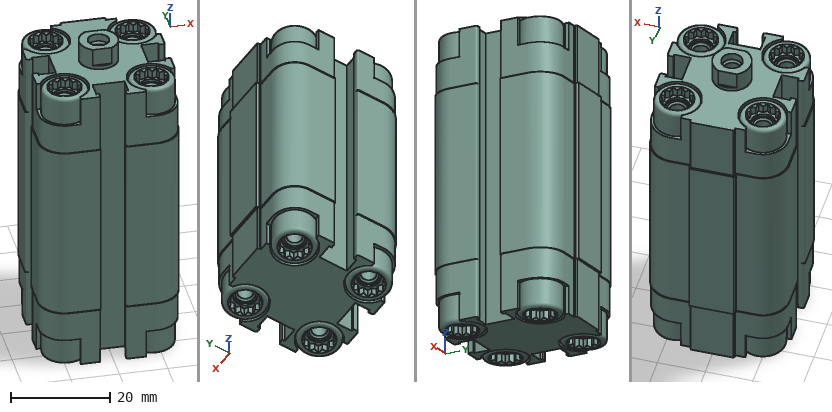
import cadquery as cq
import math

total_height = 67.5
rod_projection = 4.5
housing_height = total_height - rod_projection
cap_height = 12.5
barrel_height = housing_height - 2 * cap_height

barrel_half_width = 14.5
cap_inset = 0.2
cap_half_width = barrel_half_width - cap_inset
corner_center = 9.0

barrel_rib_top = 15.45
cap_rib_top = 15.05
barrel_rib_half_width = 4.65
cap_rib_half_width = barrel_rib_half_width - cap_inset
rib_side_lean = 0.2
rib_foot_height = 0.35

slot_mouth_half_width = 2.7
slot_half_width = 3.3
slot_lip_bottom = 13.0
slot_floor = 9.5
barrel_lip_round = 0.2
cap_lip_round = 0.4
slot_turns = (90, 180, 270)

notch_start = 6.75
notch_height = 6.0
boss_diameter = 9.5
boss_round = 0.75
boss_clearance_diameter = 10.0

socket_point_count = 12
socket_tip_radius = 3.5
socket_ridge_radius = 3.0
socket_depth = 2.15
socket_mouth_diameter = 7.0
socket_mouth_slope = 1
seat_diameter = 5.0
seat_depth = 2.7
countersink_diameter = 4.1
screw_hole_diameter = 3.25

rod_diameter = 8.0
rod_flat_half_width = 3.5
rod_flat_length = 3.7
rod_seat_depth = cap_height
rod_bore_diameter = 4.3
rod_bore_depth = 1.6
rod_pilot_diameter = 3.4
rod_pilot_depth = 6.1
drill_point_angle = 118

corner_places = [
    (x_side * corner_center, y_side * corner_center)
    for x_side in (-1, 1)
    for y_side in (-1, 1)
]


def cylinder(diameter, height, center=(0, 0), bottom=0):
    """Upright cylinder standing on the height 'bottom'."""
    return cq.Workplane("XY", origin=(*center, bottom)).circle(diameter / 2).extrude(height)


def outline_block(half_width, height, rib_top, rib_half_width):
    """Rounded square prism with the tapered rib on +Y, standing on Z = 0."""
    block = (
        cq.Workplane("XY")
        .rect(2 * half_width, 2 * half_width)
        .extrude(height)
        .edges("|Z")
        .fillet(half_width - corner_center)
    )
    rib_foot = rib_half_width + rib_side_lean
    rib = (
        cq.Workplane("XY")
        .polyline([
            (-rib_foot, 0),
            (-rib_foot, half_width + rib_foot_height),
            (-rib_half_width, rib_top),
            (rib_half_width, rib_top),
            (rib_foot, half_width + rib_foot_height),
            (rib_foot, 0),
        ])
        .close()
        .extrude(height)
    )
    return block.union(rib)


def t_slot(half_width, height, lip_round):
    """T-slot cutter for the +Y side, flared at the mouth to round the lips."""
    flare = slot_mouth_half_width + lip_round
    lip_tangent = half_width - lip_round
    return (
        cq.Workplane("XY")
        .moveTo(-slot_half_width, slot_floor)
        .lineTo(-slot_half_width, slot_lip_bottom)
        .lineTo(-slot_mouth_half_width, slot_lip_bottom)
        .lineTo(-slot_mouth_half_width, lip_tangent)
        .radiusArc((-flare, half_width), -lip_round)
        .lineTo(flare, half_width)
        .radiusArc((slot_mouth_half_width, lip_tangent), -lip_round)
        .lineTo(slot_mouth_half_width, slot_lip_bottom)
        .lineTo(slot_half_width, slot_lip_bottom)
        .lineTo(slot_half_width, slot_floor)
        .close()
        .extrude(height)
    )


def slotted_profile(half_width, height, rib_top, rib_half_width, lip_round):
    """Prism with the rib on +Y and a T-slot on each of the other three sides."""
    profile = outline_block(half_width, height, rib_top, rib_half_width)
    slot = t_slot(half_width, height, lip_round)
    for turn in slot_turns:
        profile = profile.cut(slot.rotate((0, 0, 0), (0, 0, 1), turn))
    return profile


def screw_socket():
    """Cutter for a twelve-point socket with its stepped seat; the mouth is at Z = 0."""
    star_points = []
    for index in range(2 * socket_point_count):
        radius = socket_tip_radius if index % 2 == 0 else socket_ridge_radius
        angle = index * math.pi / socket_point_count
        star_points.append((radius * math.cos(angle), radius * math.sin(angle)))
    star = cq.Workplane("XY").polyline(star_points).close().extrude(-socket_depth)

    mouth_radius = socket_mouth_diameter / 2
    seat_radius = seat_diameter / 2
    mouth_depth = (mouth_radius - seat_radius) * socket_mouth_slope
    countersink_depth = (countersink_diameter - screw_hole_diameter) / 2
    bore = (
        cq.Workplane("XZ")
        .polyline([
            (0, 0),
            (mouth_radius, 0),
            (seat_radius, -mouth_depth),
            (seat_radius, -seat_depth),
            (countersink_diameter / 2, -seat_depth),
            (screw_hole_diameter / 2, -seat_depth - countersink_depth),
            (0, -seat_depth - countersink_depth),
        ])
        .close()
        .revolve(360, (0, 0), (0, 1))
    )
    return star.union(bore)


def end_cap():
    """End cap standing on Z = 0, with a notched boss and a socket at each top corner."""
    cap = slotted_profile(cap_half_width, cap_height, cap_rib_top, cap_rib_half_width, cap_lip_round)
    notch_floor = cap_height - notch_height
    notch_width = cap_half_width - notch_start
    notch_center = notch_start + notch_width / 2
    socket = screw_socket()
    for x, y in corner_places:
        x_notch = math.copysign(notch_center, x)
        y_notch = math.copysign(notch_center, y)
        notch = (
            cq.Workplane("XY", origin=(x_notch, y_notch, notch_floor))
            .rect(notch_width, notch_width)
            .extrude(notch_height)
        )
        clearance = cylinder(boss_clearance_diameter, notch_height, (x, y), notch_floor)
        boss = cylinder(boss_diameter, notch_height, (x, y), notch_floor)
        boss = boss.faces(">Z").edges().fillet(boss_round)
        cap = cap.cut(notch).cut(clearance).union(boss)
        cap = cap.cut(socket.translate((x, y, cap_height)))
    return cap


def piston_rod():
    """Rod with two wrench flats and a stepped blind hole in its top end."""
    rod_bottom = housing_height - rod_seat_depth
    rod = cylinder(rod_diameter, total_height - rod_bottom, bottom=rod_bottom)

    flat_cut = (
        cq.Workplane("XY", origin=(0, 0, total_height - rod_flat_length))
        .rect(2 * rod_diameter, 2 * rod_diameter)
        .rect(2 * rod_diameter, 2 * rod_flat_half_width)
        .extrude(rod_flat_length)
    )

    bore_radius = rod_bore_diameter / 2
    pilot_radius = rod_pilot_diameter / 2
    point_height = pilot_radius / math.tan(math.radians(drill_point_angle / 2))
    hole = (
        cq.Workplane("XZ")
        .polyline([
            (0, 0),
            (bore_radius, 0),
            (bore_radius, -rod_bore_depth),
            (pilot_radius, -rod_bore_depth - bore_radius + pilot_radius),
            (pilot_radius, -rod_pilot_depth),
            (0, -rod_pilot_depth - point_height),
        ])
        .close()
        .revolve(360, (0, 0), (0, 1))
        .translate((0, 0, total_height))
    )
    return rod.cut(flat_cut).cut(hole)


def cylinder_housing():
    """Barrel and both end caps in one piece, with corner screw holes and the rod hole."""
    barrel = slotted_profile(
        barrel_half_width, barrel_height, barrel_rib_top, barrel_rib_half_width, barrel_lip_round
    )
    cap = end_cap()
    housing = (
        barrel.translate((0, 0, cap_height))
        .union(cap.translate((0, 0, housing_height - cap_height)))
        .union(cap.mirror("XY").translate((0, 0, cap_height)))
    )
    for place in corner_places:
        housing = housing.cut(cylinder(screw_hole_diameter, housing_height, place))
    rod_hole = cylinder(rod_diameter, rod_seat_depth, bottom=housing_height - rod_seat_depth)
    return housing.cut(rod_hole)


housing = cylinder_housing()
rod = piston_rod()
result = cq.Compound.makeCompound([housing.val(), rod.val()])